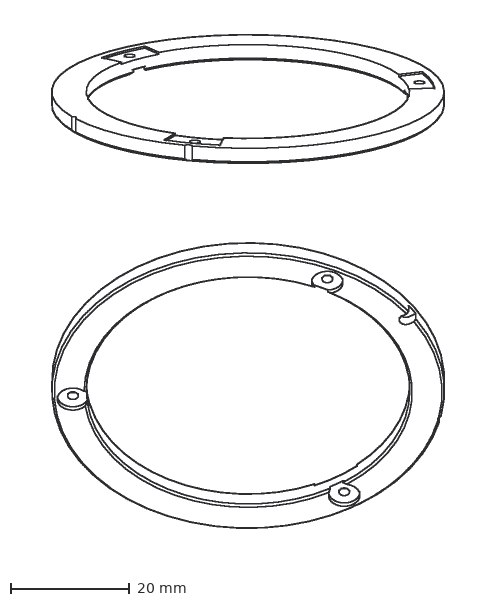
import cadquery as cq
import math

outer_diameter = 66
bore_diameter = 54.4
thickness = 2.8
rim_chamfer = 0.4
bore_chamfer = rim_chamfer

seat_angles = (30, 150, 270)
seat_outer_radius = 31.5
seat_half_angle = 9
seat_depth = 0.3
screw_circle_radius = 29.5
screw_hole_diameter = 1.8

recess_diameter = 5.3
recess_depth = 0.8

scallop_angles = (225, 270)
scallop_diameter = 1.5
scallop_center_radius = 33.3

slot_angle = 180
slot_center_radius = 31.7
slot_width = 2.25
slot_height = 1.7

outer_radius = outer_diameter / 2


def polar(radius, angle):
    """Point at the given radius and angle in degrees."""
    return (
        radius * math.cos(math.radians(angle)),
        radius * math.sin(math.radians(angle)),
    )


def upright_cylinder(radius, angle, diameter, height):
    """Cylinder rising from the bottom face at a polar position."""
    return cq.Workplane("XY").center(*polar(radius, angle)).circle(diameter / 2).extrude(height)


def seat_pocket(angle):
    """Sector of the top face between radial sides, open to the bore."""
    reach = outer_radius / math.cos(math.radians(seat_half_angle))
    wedge = (
        cq.Workplane("XY", origin=(0, 0, thickness - seat_depth))
        .moveTo(0, 0)
        .lineTo(*polar(reach, angle - seat_half_angle))
        .lineTo(*polar(reach, angle + seat_half_angle))
        .close()
        .extrude(seat_depth)
    )
    return wedge.intersect(cq.Workplane("XY").circle(seat_outer_radius).extrude(thickness))


def bore_countersink():
    """Cone that breaks the bottom edge of the bore at 45 degrees."""
    return (
        cq.Workplane("XY")
        .circle(bore_diameter / 2 + bore_chamfer)
        .extrude(bore_chamfer, taper=45)
    )


def round_ended_slot():
    """Radial slot running in from the rim to a semicircular inner end."""
    run_length = outer_radius - slot_center_radius
    round_end = upright_cylinder(slot_center_radius, slot_angle, slot_width, slot_height)
    straight_run = (
        cq.Workplane("XY")
        .center(slot_center_radius + run_length / 2, 0)
        .rect(run_length, slot_width)
        .extrude(slot_height)
        .rotate((0, 0, 0), (0, 0, 1), slot_angle)
    )
    return round_end.union(straight_run)


ring = (
    cq.Workplane("XY")
    .circle(outer_radius)
    .extrude(thickness)
    .faces("<Z")
    .chamfer(rim_chamfer)
)
bore = (
    cq.Workplane("XY")
    .circle(bore_diameter / 2)
    .extrude(thickness)
    .union(bore_countersink())
)
ring = ring.cut(bore)

for seat_angle in seat_angles:
    ring = ring.cut(seat_pocket(seat_angle))
    ring = ring.cut(upright_cylinder(screw_circle_radius, seat_angle, screw_hole_diameter, thickness))
    ring = ring.cut(upright_cylinder(screw_circle_radius, seat_angle, recess_diameter, recess_depth))

for scallop_angle in scallop_angles:
    ring = ring.cut(upright_cylinder(scallop_center_radius, scallop_angle, scallop_diameter, thickness))

result = ring.cut(round_ended_slot())